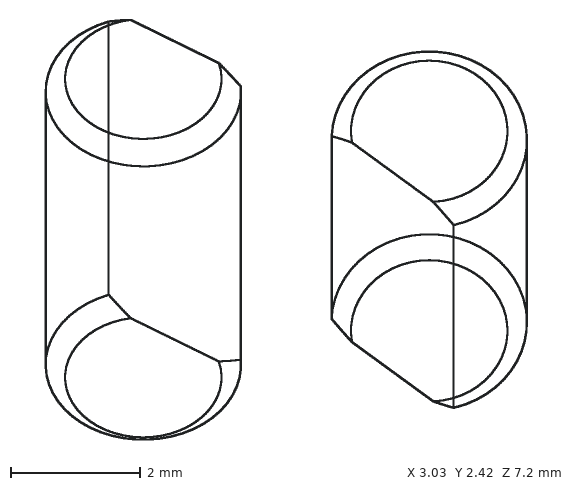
import cadquery as cq

length = 7.2
diameter = 3.03
depth_across_flat = 2.42
end_chamfer = 0.3

radius = diameter / 2
flat_y = depth_across_flat - radius


def chamfered_pin():
    """Round pin along Z with both ends chamfered."""
    pin = cq.Workplane("XY").circle(radius).extrude(length)
    return pin.faces("<Z or >Z").chamfer(end_chamfer)


def flat_cutter():
    """Block that removes everything on the +Y side of the flat."""
    return (
        cq.Workplane("XY", origin=(0, flat_y, 0))
        .box(diameter, radius, length, centered=(True, False, False))
    )


result = chamfered_pin().cut(flat_cutter())